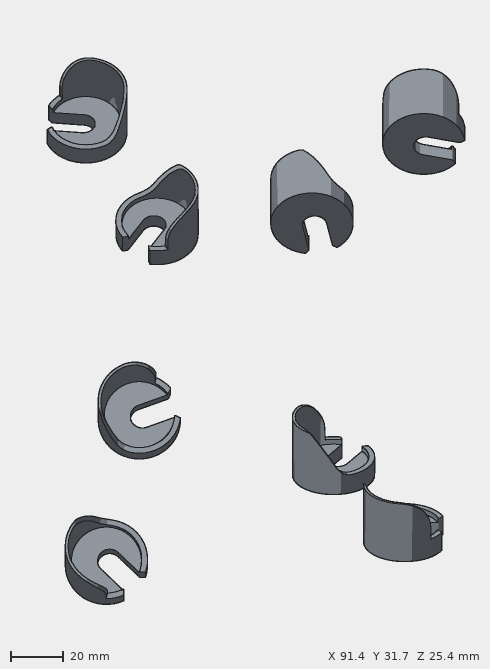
import cadquery as cq
import math

overall_length = 91.4
outer_radius = 15.85
height = 25.4
rim_height = 7.95
floor_thickness = 5.9

cavity_floor_radius = 13.4
cavity_middle_radius = 14.2
cavity_top_radius = 14.7

step_y = -3.3
step_round = 12.8

slope_foot_y = 4.0
slope_top_y = 13.8
slope_foot_round = 6.85
slope_top_round = 1.5

slot_radius = 4.7
slot_center = (-0.2, -1.3)
slot_angle = -57.3
mouth_radius = 13.9
mouth_flare_angle = 46.0
mouth_round = 1.0
mouth_depth = 4.6

cup_center_x = overall_length / 2 - outer_radius


def extrude_side(profile, start_x):
    """Extrude a Y-Z profile by one outer radius toward +X from start_x."""
    return profile.extrude(outer_radius).translate((start_x, 0, 0))


def stepped_side():
    """Envelope of the half that faces away from the other cup."""
    profile = (
        cq.Workplane("YZ")
        .moveTo(-outer_radius, 0)
        .lineTo(-outer_radius, rim_height)
        .lineTo(step_y, rim_height)
        .lineTo(step_y, height - step_round)
        .radiusArc((step_y + step_round, height), step_round)
        .lineTo(outer_radius, height)
        .lineTo(outer_radius, 0)
        .close()
    )
    return extrude_side(profile, 0)


def sloped_side():
    """Envelope of the half that faces the other cup."""
    profile = (
        cq.Workplane("YZ")
        .moveTo(-outer_radius, 0)
        .lineTo(-outer_radius, rim_height)
        .lineTo(slope_foot_y, rim_height)
        .lineTo(slope_top_y, height)
        .lineTo(outer_radius, height)
        .lineTo(outer_radius, 0)
        .close()
    )
    side = extrude_side(profile, -outer_radius)
    foot_edge = cq.selectors.NearestToPointSelector((-outer_radius / 2, slope_foot_y, rim_height))
    top_edge = cq.selectors.NearestToPointSelector((-outer_radius / 2, slope_top_y, height))
    side = side.edges("|X").edges(foot_edge).fillet(slope_foot_round)
    return side.edges("|X").edges(top_edge).fillet(slope_top_round)


def cavity():
    """Round interior above the floor, widening toward the top."""
    middle_z = (floor_thickness + height) / 2
    return (
        cq.Workplane("XZ")
        .moveTo(0, floor_thickness)
        .lineTo(cavity_floor_radius, floor_thickness)
        .threePointArc((cavity_middle_radius, middle_z), (cavity_top_radius, height))
        .lineTo(0, height)
        .close()
        .revolve(360, (0, 0), (0, 1))
    )


def slot():
    """Round-ended slot whose rounded mouth flares out through the wall.

    It is drawn pointing along +X about the cup axis and then turned.
    """
    angle = math.radians(slot_angle)
    center_along = slot_center[0] * math.cos(angle) + slot_center[1] * math.sin(angle)
    center_across = slot_center[1] * math.cos(angle) - slot_center[0] * math.sin(angle)
    right_side = center_across - slot_radius
    left_side = center_across + slot_radius
    right_mouth = math.sqrt(mouth_radius**2 - right_side**2)
    left_mouth = math.sqrt(mouth_radius**2 - left_side**2)
    flare = mouth_depth * math.tan(math.radians(mouth_flare_angle))
    opening = (
        cq.Workplane("XY")
        .moveTo(center_along, left_side)
        .threePointArc((center_along - slot_radius, center_across), (center_along, right_side))
        .lineTo(right_mouth, right_side)
        .lineTo(right_mouth + mouth_depth, right_side - flare)
        .lineTo(left_mouth + mouth_depth, left_side + flare)
        .lineTo(left_mouth, left_side)
        .close()
        .extrude(height)
    )
    for mouth_corner in ((right_mouth, right_side, height / 2), (left_mouth, left_side, height / 2)):
        corner_edge = cq.selectors.NearestToPointSelector(mouth_corner)
        opening = opening.edges("|Z").edges(corner_edge).fillet(mouth_round)
    return opening.rotate((0, 0, 0), (0, 0, 1), slot_angle)


def make_cup():
    """Cup standing on the +X side, with its slot toward the front."""
    envelope = stepped_side().union(sloped_side())
    cup = cq.Workplane("XY").circle(outer_radius).extrude(height).intersect(envelope)
    cup = cup.cut(cavity()).cut(slot())
    return cup.translate((cup_center_x, 0, 0))


cups = []
for mirrored in (False, True):
    cup = make_cup()
    if mirrored:
        cup = cup.mirror("YZ")
    cups.append(cup.val())

result = cq.Compound.makeCompound(cups)